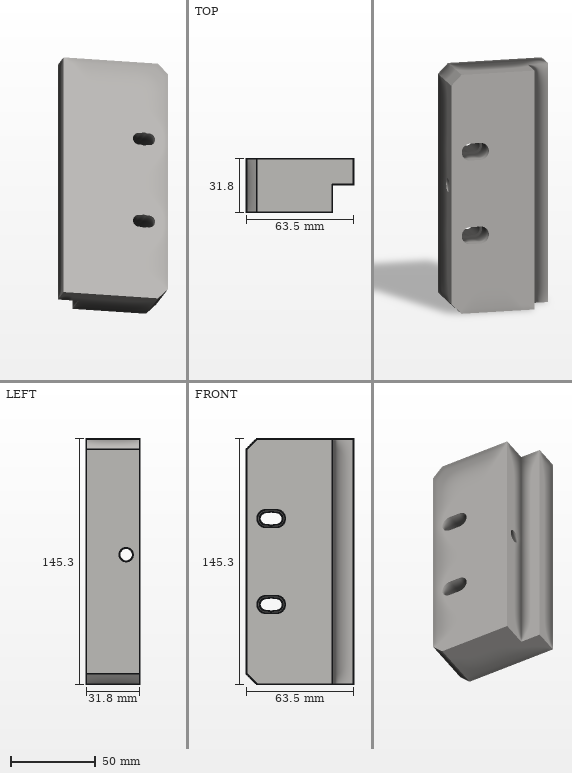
import cadquery as cq

width = 63.5
depth = 31.8
height = 145.3

chamfer = 6.2
step_width = 12.6
tongue_thickness = 15.4

slot_spacing = 50.9
slot_edge_gap = 6.4
seat_slot_length = 16.5
seat_slot_width = 10.3
through_slot_length = 13.4
through_slot_width = 7.3
slot_center_hole_diameter = 8.0
seat_depth = depth / 2

cross_hole_diameter = 7.8
cross_hole_from_front = 8.1
cross_hole_above_middle = 4.0

left = -width / 2
front = -depth / 2
slot_x = left + slot_edge_gap + seat_slot_length / 2


def make_block():
    """Block with two chamfered left corners and a stepped right edge."""
    block = cq.Workplane("XY").box(width, depth, height)
    block = block.edges("<X and |Y").chamfer(chamfer)
    step_depth = depth - tongue_thickness
    step = cq.Workplane("XY").box(step_width, step_depth, height)
    return block.cut(step.translate(((width - step_width) / 2, (step_depth - depth) / 2, 0)))


def slot_positions():
    """Sketch plane on the front face with a point at the centre of each slot."""
    return cq.Workplane("XZ", origin=(slot_x, front, 0)).rarray(1.5, slot_spacing, 1, 2)


def make_slots(length, slot_width, slot_depth):
    """Pair of rounded slots sunk from the front face."""
    return slot_positions().slot2D(length, slot_width).extrude(-slot_depth)


def make_slot_center_holes():
    """Pair of round holes through the full depth at the slot centres."""
    return slot_positions().circle(slot_center_hole_diameter / 2).extrude(-depth)


def make_cross_hole():
    """Cylinder through the full width of the block."""
    return (
        cq.Workplane("YZ", origin=(left, front + cross_hole_from_front, cross_hole_above_middle))
        .circle(cross_hole_diameter / 2)
        .extrude(width)
    )


result = (
    make_block()
    .cut(make_slots(through_slot_length, through_slot_width, depth))
    .cut(make_slots(seat_slot_length, seat_slot_width, seat_depth))
    .cut(make_slot_center_holes())
    .cut(make_cross_hole())
)